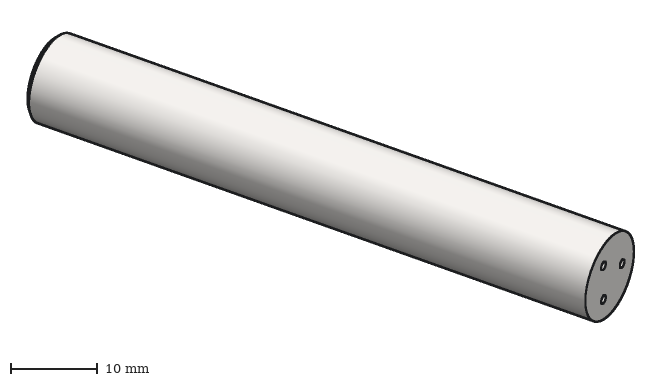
import cadquery as cq
import math

length = 75.0
diameter = 11.0
chamfer = 0.56

hole_count = 3
hole_diameter = 1.05
hole_circle_diameter = 5.6
first_hole_angle = -90.0

helix_angle = 30.0
helix_pitch = math.pi * diameter / math.tan(math.radians(helix_angle))
twist_angle = 360.0 * length / helix_pitch


def rod():
    """Round bar with its -X rim chamfered."""
    bar = cq.Workplane("YZ").circle(diameter / 2).extrude(length)
    return bar.faces("<X").edges().chamfer(chamfer)


def coolant_hole(angle):
    """Bore that winds around the rod axis over the full length."""
    bore = (
        cq.Workplane("YZ")
        .moveTo(hole_circle_diameter / 2, 0)
        .circle(hole_diameter / 2)
        .twistExtrude(length, twist_angle)
    )
    return bore.rotate((0, 0, 0), (1, 0, 0), angle)


result = rod()
for index in range(hole_count):
    result = result.cut(coolant_hole(first_hole_angle + index * 360.0 / hole_count))